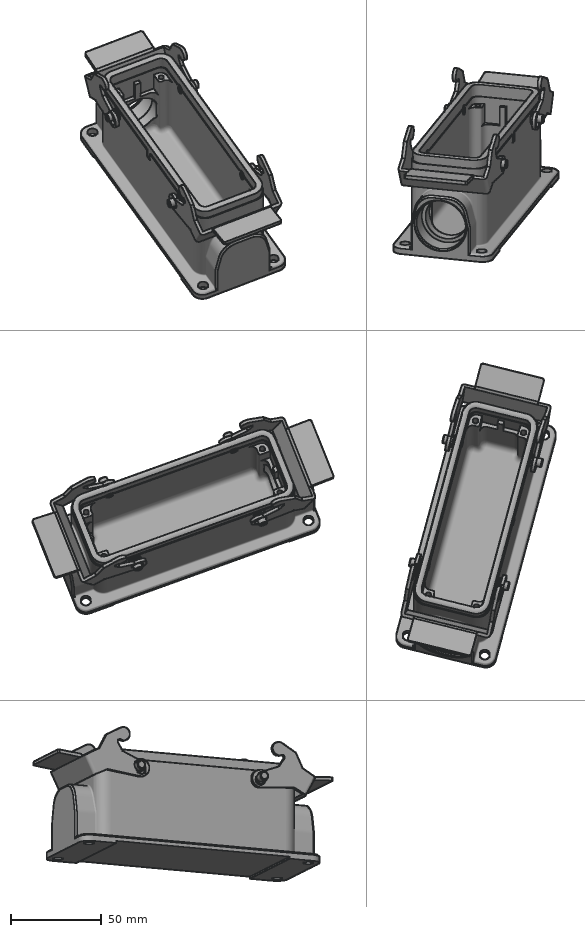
import cadquery as cq
import math

FLANGE_LENGTH = 144.1
FLANGE_WIDTH = 57.0
FLANGE_TOP = 4.3
FLANGE_CORNER = 6.0
FLANGE_CHAMFER = 1.0
FOOT_HEIGHT = 1.2
FOOT_INNER_X = 52.2
MOUNT_HOLE_DIA = 5.6
MOUNT_HOLE_X = 65.9
MOUNT_HOLE_Y = 22.0

BODY_LENGTH = 120.5
BODY_WIDTH = 43.4
BODY_CORNER = 7.6
ROOT_FILLET = 0.8
RIM_BASE = 50.0
RIM_TOP = 55.5
RIM_STEP = 0.5
RIM_WALL = 3.6
RIM_CROWN = 0.5
RIM_LENGTH = BODY_LENGTH - 2 * RIM_STEP
RIM_WIDTH = BODY_WIDTH - 2 * RIM_STEP
RIM_SHOULDER = RIM_TOP - RIM_CROWN
NOTCH_WIDTH = 3.6
NOTCH_HEIGHT = 5.0

MOUTH_LENGTH = RIM_LENGTH - 2 * RIM_WALL
MOUTH_WIDTH = RIM_WIDTH - 2 * RIM_WALL
MOUTH_CORNER = BODY_CORNER - RIM_WALL
MOUTH_BOTTOM = 48.0
MOUTH_STEP = 0.3
CAVITY_LENGTH = MOUTH_LENGTH - 2 * MOUTH_STEP
CAVITY_WIDTH = MOUTH_WIDTH - 2 * MOUTH_STEP
CAVITY_FLOOR = 4.3
FLOOR_FILLET = 3.1
LEDGE_TOP = 32.8
LEDGE_INNER_X = 53.7
RIB_WIDTH = 3.3
BOSS_TOP = 43.9
BOSS_INNER_X = 49.2
BOSS_INNER_Y = 11.0
BOSS_ROUND = 1.0
BOSS_ROOT_FILLET = 3.3
SCREW_X = 52.2
SCREW_Y = 13.7
SCREW_DIA = 3.0
SCREW_DEPTH = 10.0

ENTRY_HALF_WIDTH = 17.0
ENTRY_SHOULDER_Z = 19.0
ENTRY_SHOULDER_ROUND = 8.3
ENTRY_TOP = 36.3
ENTRY_FLAT_HALF = 4.5
ENTRY_ARC_RADIUS = 10.8
ENTRY_EDGE_CHAMFER = 1.0
ENTRY_AXIS_Z = 19.0
ENTRY_BORE_DIA = 28.3
ENTRY_BORE_DEPTH = 12.3
ENTRY_HOLE_DIA = 24.0
ENTRY_HOLE_END_X = -52.0
ENTRY_MOUTH_CHAMFER = 0.8

PIN_X = 37.0
PIN_Z = 45.9
PIN_DIA = 4.8
PIN_TIP_DIA = 4.0
PIN_END_Y = 28.3
PIN_COLLAR_DIA = 7.0
PIN_COLLAR_END_Y = 22.7
PIN_RECESS_DIA = 4.0
PIN_RECESS_DEPTH = 0.3

LEVER_WIDTH = 51.0
LEVER_THICKNESS = 2.0
LEVER_BEND_RADIUS = 2.0
EYE_RADIUS = 5.0
SLOT_WIDTH = 5.6
SLOT_START = (-1.2, 1.2)
SLOT_END = (0.2, -0.8)
HOOK_CENTRE = (-11.1, 17.9)
HOOK_RADIUS = 3.8
PLATE_TOP = (-33.5, 3.3)
PLATE_BOTTOM = (-27.7, -7.3)
HANDLE_TIP = (-46.9, 4.3)
HANDLE_WIDTH = 36.1
HANDLE_CORNER_CHAMFER = 0.8
OPEN_REACH = 33.1

EYE_Z = 44.7
LEFT_EYE_X = -36.0
RIGHT_EYE_X = 36.3
RIGHT_TILT = 2.0
LEFT_SHIFT_Y = -0.2
RIGHT_SHIFT_Y = 0.3

PICK_MARGIN = 0.2


def box(x0, x1, y0, y1, z0, z1):
    return cq.Workplane("XY").box(x1 - x0, y1 - y0, z1 - z0, centered=False).translate((x0, y0, z0))


def rounded_block(length, width, radius, z0, z1):
    block = cq.Workplane("XY").workplane(offset=z0).rect(length, width).extrude(z1 - z0)
    return block.edges("|Z").fillet(radius)


def cylinder_x(dia, x, depth):
    return cq.Workplane("YZ", origin=(x, 0, ENTRY_AXIS_Z)).circle(dia / 2).extrude(depth)


def cylinder_y(x, dia, y0, y1):
    return cq.Workplane("XZ", origin=(x, y0, PIN_Z)).circle(dia / 2).extrude(y0 - y1)


def four_cylinders(x, y, dia, z0, z1):
    points = [(sx * x, sy * y) for sx in (-1, 1) for sy in (-1, 1)]
    return cq.Workplane("XY").workplane(offset=z0).pushPoints(points).circle(dia / 2).extrude(z1 - z0)


def polar(centre, radius, degrees):
    angle = math.radians(degrees)
    return (centre[0] + radius * math.cos(angle), centre[1] + radius * math.sin(angle))


def make_flange():
    flange = rounded_block(FLANGE_LENGTH, FLANGE_WIDTH, FLANGE_CORNER, 0, FLANGE_TOP)
    flange = flange.faces(">Z").edges().chamfer(FLANGE_CHAMFER)
    side_y = FLANGE_WIDTH / 2
    return flange.cut(box(-FOOT_INNER_X, FOOT_INNER_X, -side_y, side_y, 0, FOOT_HEIGHT))


def make_rim_crown():
    """Rounded top of the rim: a shallow arc swept round the middle of the rim wall."""
    middle = rounded_block(RIM_LENGTH - RIM_WALL, RIM_WIDTH - RIM_WALL,
                           BODY_CORNER - RIM_WALL / 2, FOOT_HEIGHT, RIM_SHOULDER)
    path = middle.faces(">Z").wires()
    profile = (cq.Workplane("YZ", origin=(0, (RIM_WIDTH - RIM_WALL) / 2, RIM_SHOULDER))
               .moveTo(-RIM_WALL / 2, 0)
               .threePointArc((0, RIM_CROWN), (RIM_WALL / 2, 0))
               .close())
    return profile.sweep(path, transition="round")


def make_box():
    body = rounded_block(BODY_LENGTH, BODY_WIDTH, BODY_CORNER, FOOT_HEIGHT, RIM_BASE)
    rim = rounded_block(RIM_LENGTH, RIM_WIDTH, BODY_CORNER, RIM_BASE, RIM_SHOULDER)
    return body.union(rim)


def make_entry():
    """Solid block of the -X cable entry, from the flange end into the box wall."""
    arc_y = ENTRY_FLAT_HALF
    arc_z = ENTRY_TOP - ENTRY_ARC_RADIUS
    dy = ENTRY_HALF_WIDTH - arc_y
    dz = ENTRY_SHOULDER_Z - arc_z
    flank = math.degrees(math.atan2(dz, dy) + math.acos(ENTRY_ARC_RADIUS / math.hypot(dy, dz)))
    left = (-arc_y, arc_z)
    right = (arc_y, arc_z)
    middle = (flank + 90) / 2
    block = (cq.Workplane("YZ", origin=(-FLANGE_LENGTH / 2, 0, 0))
             .moveTo(-ENTRY_HALF_WIDTH, 0)
             .lineTo(ENTRY_HALF_WIDTH, 0)
             .lineTo(ENTRY_HALF_WIDTH, ENTRY_SHOULDER_Z)
             .lineTo(*polar(right, ENTRY_ARC_RADIUS, flank))
             .threePointArc(polar(right, ENTRY_ARC_RADIUS, middle), (arc_y, ENTRY_TOP))
             .lineTo(-arc_y, ENTRY_TOP)
             .threePointArc(polar(left, ENTRY_ARC_RADIUS, 180 - middle), polar(left, ENTRY_ARC_RADIUS, 180 - flank))
             .lineTo(-ENTRY_HALF_WIDTH, ENTRY_SHOULDER_Z)
             .close()
             .extrude((FLANGE_LENGTH - CAVITY_LENGTH) / 2))
    shoulders = cq.selectors.BoxSelector((-FLANGE_LENGTH, -FLANGE_WIDTH, ENTRY_SHOULDER_Z - PICK_MARGIN),
                                         (0, FLANGE_WIDTH, ENTRY_SHOULDER_Z + PICK_MARGIN))
    block = block.edges("|X").edges(shoulders).fillet(ENTRY_SHOULDER_ROUND)
    return block.faces("<X").edges("not(<Z)").chamfer(ENTRY_EDGE_CHAMFER)


def fillet_roots(housing):
    """Round the inside corners where box and entries rise from the flange and meet each other."""
    inner_x = FLANGE_LENGTH / 2 - ENTRY_EDGE_CHAMFER + PICK_MARGIN
    inner_y = FLANGE_WIDTH / 2 - 2 * FLANGE_CHAMFER
    roots = housing.edges(cq.selectors.BoxSelector((-inner_x, -inner_y, FLANGE_TOP - PICK_MARGIN),
                                                   (inner_x, inner_y, FLANGE_TOP + PICK_MARGIN)))
    joint_x = BODY_LENGTH / 2
    joint_y = ENTRY_HALF_WIDTH + PICK_MARGIN
    joint_depth = 1.7
    for side in (-1, 1):
        near = (side * (joint_x + PICK_MARGIN), -joint_y, FLANGE_TOP + PICK_MARGIN)
        far = (side * (joint_x - joint_depth), joint_y, ENTRY_TOP + PICK_MARGIN)
        roots = roots.add(housing.edges(cq.selectors.BoxSelector(near, far)))
    return roots.fillet(ROOT_FILLET)


def make_cavity():
    """Air inside the box: a pocket around the four corner screw bosses, wider at its mouth."""
    half_x = CAVITY_LENGTH / 2
    half_y = CAVITY_WIDTH / 2
    pocket = box(-LEDGE_INNER_X, LEDGE_INNER_X, -half_y, half_y, CAVITY_FLOOR, BOSS_TOP)
    boss = box(BOSS_INNER_X, half_x, BOSS_INNER_Y, half_y, CAVITY_FLOOR, BOSS_TOP)
    boss = boss.edges("|Z and <X and <Y").fillet(BOSS_ROUND)
    for side in (boss, boss.mirror("YZ")):
        pocket = pocket.cut(side).cut(side.mirror("XZ"))
    side_corners = [e for e in pocket.edges("|Z").vals()
                    if math.isclose(abs(e.Center().x), LEDGE_INNER_X) or math.isclose(abs(e.Center().y), half_y)]
    pocket = pocket.newObject(side_corners).fillet(BOSS_ROOT_FILLET)
    pocket = pocket.faces("<Z").edges().fillet(FLOOR_FILLET)
    above_ledge = box(-half_x, half_x, -BOSS_INNER_Y, BOSS_INNER_Y, LEDGE_TOP, BOSS_TOP)
    rib = box(-half_x, half_x, -RIB_WIDTH / 2, RIB_WIDTH / 2, LEDGE_TOP, BOSS_TOP)
    gap = box(-LEDGE_INNER_X, LEDGE_INNER_X, -RIB_WIDTH / 2, RIB_WIDTH / 2, LEDGE_TOP, BOSS_TOP)
    above_ledge = above_ledge.cut(rib.cut(gap))
    above_bosses = rounded_block(CAVITY_LENGTH, CAVITY_WIDTH, MOUTH_CORNER, BOSS_TOP, MOUTH_BOTTOM)
    mouth = rounded_block(MOUTH_LENGTH, MOUTH_WIDTH, MOUTH_CORNER, MOUTH_BOTTOM, RIM_TOP)
    return pocket.union(above_ledge).union(above_bosses).union(mouth)


def make_entry_bore():
    end_x = -FLANGE_LENGTH / 2
    bore = cylinder_x(ENTRY_BORE_DIA, end_x, ENTRY_BORE_DEPTH)
    hole = cylinder_x(ENTRY_HOLE_DIA, end_x, ENTRY_HOLE_END_X - end_x)
    mouth = cylinder_x(ENTRY_BORE_DIA + 2 * ENTRY_MOUTH_CHAMFER, end_x, 2 * ENTRY_MOUTH_CHAMFER)
    mouth = mouth.faces(">X").chamfer(ENTRY_MOUTH_CHAMFER)
    return bore.union(hole).union(mouth)


def make_pin(x):
    """Stepped pin on the +Y wall."""
    wall_y = CAVITY_WIDTH / 2
    pin = cylinder_y(x, PIN_DIA, wall_y, PIN_END_Y)
    pin = pin.faces(">Y").chamfer((PIN_DIA - PIN_TIP_DIA) / 2)
    return pin.union(cylinder_y(x, PIN_COLLAR_DIA, wall_y, PIN_COLLAR_END_Y))


def make_housing():
    entry = make_entry()
    housing = make_flange().union(make_box()).union(entry).union(entry.mirror("YZ"))
    housing = fillet_roots(housing)
    housing = housing.union(make_rim_crown()).cut(make_cavity())
    wall_y = CAVITY_WIDTH / 2
    for x in (-PIN_X, PIN_X):
        pin = make_pin(x)
        recess = cylinder_y(x, PIN_RECESS_DIA, wall_y, wall_y + PIN_RECESS_DEPTH)
        housing = housing.union(pin).union(pin.mirror("XZ")).cut(recess).cut(recess.mirror("XZ"))
    mount_holes = four_cylinders(MOUNT_HOLE_X, MOUNT_HOLE_Y, MOUNT_HOLE_DIA, 0, FLANGE_TOP)
    screw_holes = four_cylinders(SCREW_X, SCREW_Y, SCREW_DIA, BOSS_TOP - SCREW_DEPTH, BOSS_TOP)
    notch = box(-NOTCH_WIDTH / 2, NOTCH_WIDTH / 2, -BODY_WIDTH / 2, -RIM_WIDTH / 2,
                RIM_BASE - NOTCH_HEIGHT, RIM_BASE)
    return housing.cut(make_entry_bore()).cut(mount_holes).cut(screw_holes).cut(notch)


def offset_point(start, end, point, distance):
    """Point moved to the left of the direction from start to end."""
    length = math.hypot(end[0] - start[0], end[1] - start[1])
    shift_u = -(end[1] - start[1]) / length * distance
    shift_v = (end[0] - start[0]) / length * distance
    return (point[0] + shift_u, point[1] + shift_v)


def make_arm_block():
    """Full-width block with the side outline of the arms; its outer end face is the plate."""
    eye = (0, 0)
    block = (cq.Workplane("XZ").moveTo(*PLATE_BOTTOM)
             .lineTo(*PLATE_TOP)
             .lineTo(-25.3, 8.0)
             .lineTo(-21.2, 16.4)
             .lineTo(*polar(HOOK_CENTRE, HOOK_RADIUS, 120))
             .threePointArc(polar(HOOK_CENTRE, HOOK_RADIUS, 0), polar(HOOK_CENTRE, HOOK_RADIUS, 255))
             .threePointArc((-14.2, 13.9), (-13.9, 12.1))
             .lineTo(-11.3, 8.0)
             .lineTo(*polar(eye, EYE_RADIUS, 115))
             .threePointArc((EYE_RADIUS, 0), polar(eye, EYE_RADIUS, 265))
             .lineTo(-20.0, -3.3)
             .close()
             .extrude(LEVER_WIDTH / 2, both=True))
    return block.faces("<(2,0,1)").edges("not(|Y)").fillet(LEVER_BEND_RADIUS)


def make_lever():
    inner_top = offset_point(PLATE_TOP, PLATE_BOTTOM, PLATE_TOP, LEVER_THICKNESS)
    inner_bottom = offset_point(PLATE_TOP, PLATE_BOTTOM, PLATE_BOTTOM, LEVER_THICKNESS)
    between_arms = (cq.Workplane("XZ")
                    .polyline([inner_top, inner_bottom, (OPEN_REACH, -OPEN_REACH),
                               (OPEN_REACH, OPEN_REACH), (inner_top[0], OPEN_REACH)]).close()
                    .extrude(LEVER_WIDTH / 2 - LEVER_THICKNESS, both=True))
    rise = SLOT_END[1] - SLOT_START[1]
    run = SLOT_END[0] - SLOT_START[0]
    slot_length = math.hypot(run, rise) + SLOT_WIDTH
    slot = (cq.Workplane("XZ").center((SLOT_START[0] + SLOT_END[0]) / 2, (SLOT_START[1] + SLOT_END[1]) / 2)
            .slot2D(slot_length, SLOT_WIDTH, math.degrees(math.atan2(rise, run)))
            .extrude(LEVER_WIDTH, both=True))
    handle = (cq.Workplane("XZ")
              .polyline([HANDLE_TIP, PLATE_TOP, inner_top,
                         offset_point(HANDLE_TIP, PLATE_TOP, PLATE_TOP, LEVER_THICKNESS),
                         offset_point(HANDLE_TIP, PLATE_TOP, HANDLE_TIP, LEVER_THICKNESS)]).close()
              .extrude(HANDLE_WIDTH / 2, both=True))
    handle = handle.faces("<X").edges("not(|Y)").chamfer(HANDLE_CORNER_CHAMFER)
    return make_arm_block().cut(between_arms).cut(slot).union(handle)


def place(lever, tilt, eye_x, shift_y):
    return lever.rotate((0, 0, 0), (0, 1, 0), tilt).translate((eye_x, shift_y, EYE_Z))


housing = make_housing()
left_lever = place(make_lever(), 0, LEFT_EYE_X, LEFT_SHIFT_Y)
right_lever = place(make_lever(), RIGHT_TILT, -RIGHT_EYE_X, RIGHT_SHIFT_Y).mirror("YZ")
result = cq.Compound.makeCompound([housing.val(), left_lever.val(), right_lever.val()])